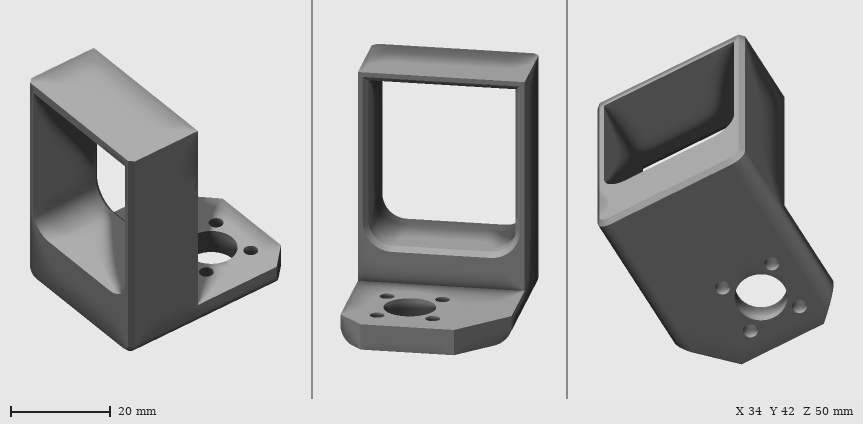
import cadquery as cq
import math

width = 34.0
depth = 42.0
height = 50.0

frame_depth = 17.0
wall = 2.0
sill_height = 13.0
window_corner_radius = 5.0
window_rear_chamfer = 1.0

plate_thickness = 5.4
bottom_edge_radius = 3.0
front_chamfer = 1.0
left_corner_cut = 10.0
right_corner_cut = 5.0

motor_x = 4.0
motor_y = 30.5
motor_bore_diameter = 10.6
screw_diameter = 3.0
screw_circle_radius = 8.0
screw_offset = screw_circle_radius * math.cos(math.radians(45))


def block(size_x, size_y, size_z, bottom=0.0):
    """Box centred on X, with its front face at Y = 0."""
    return (
        cq.Workplane("XY")
        .box(size_x, size_y, size_z, centered=(True, False, False))
        .translate((0, 0, bottom))
    )


def make_body():
    """L-shaped body with rounded lower edges and a chamfered front."""
    body = block(width, depth, height).edges("|Y and <Z").fillet(bottom_edge_radius)
    body = body.faces("<Y").edges("not >Z").chamfer(front_chamfer)
    space_above_plate = block(
        width, depth - frame_depth, height - plate_thickness, plate_thickness
    ).translate((0, frame_depth, 0))
    return body.cut(space_above_plate)


def make_window():
    """Opening through the frame, rounded at its two lower corners and flared at the rear."""
    window_width = width - 2 * wall
    window_height = height - wall - sill_height
    window = block(window_width, frame_depth, window_height, sill_height)
    window = window.edges("|Y and <Z").fillet(window_corner_radius)
    flare = block(
        window_width + 2 * window_rear_chamfer,
        window_rear_chamfer * 2,
        window_height + 2 * window_rear_chamfer,
        sill_height - window_rear_chamfer,
    ).translate((0, frame_depth - window_rear_chamfer, 0))
    flare = flare.edges("|Y and <Z").fillet(window_corner_radius + window_rear_chamfer)
    flare = flare.faces("<Y").chamfer(window_rear_chamfer)
    return window.union(flare)


def make_corner_cut(side, size):
    """Triangular prism removing a rear corner; side is -1 (left) or 1 (right)."""
    corner_x = side * width / 2
    return (
        cq.Workplane("XY")
        .moveTo(corner_x, depth)
        .lineTo(corner_x - side * size, depth)
        .lineTo(corner_x, depth - size)
        .close()
        .extrude(plate_thickness)
    )


def make_motor_holes():
    """Central bore surrounded by four screw holes, all through the plate."""
    plane = cq.Workplane("XY", origin=(motor_x, motor_y, 0))
    bore = plane.circle(motor_bore_diameter / 2).extrude(plate_thickness)
    screws = (
        plane.rect(2 * screw_offset, 2 * screw_offset, forConstruction=True)
        .vertices()
        .circle(screw_diameter / 2)
        .extrude(plate_thickness)
    )
    return bore.union(screws)


result = (
    make_body()
    .cut(make_window())
    .cut(make_corner_cut(-1, left_corner_cut))
    .cut(make_corner_cut(1, right_corner_cut))
    .cut(make_motor_holes())
)